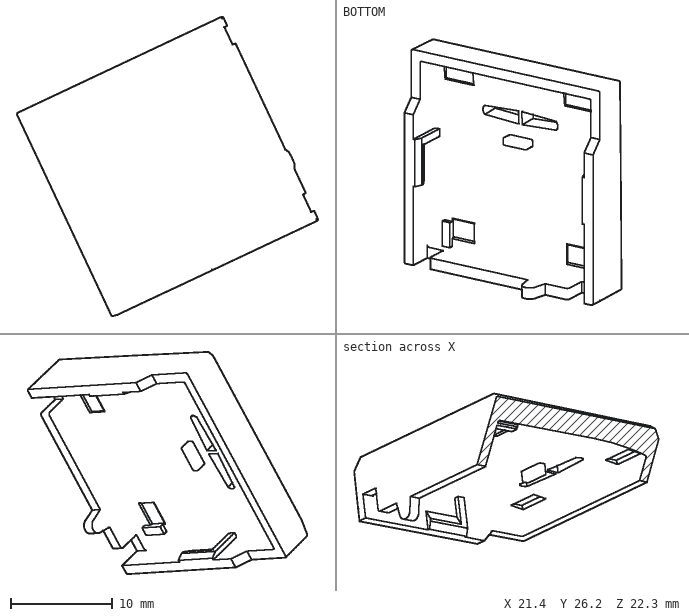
import cadquery as cq
import math


TILT_ABOUT_Y = 33.2
TILT_ABOUT_X = 20.0

WIDTH = 22.22
LENGTH = 22.1
SKIRT_HEIGHT = 1.24
WALL_DRAFT = 0.5
BACK_HEIGHT = 6.39
FRONT_HEIGHT = 6.09
CROWN_SAG = 0.03
TOP_CHAMFER = 1.15
EDGE_RADIUS = 0.2
STEP_FRONT = 5.05
STEP_BACK = 6.3

WALL = 1.05
REAR_WALL = 1.18
ROOF_HEIGHT = 3.97
ROOF_BEND = 8.23
ROOF_FRONT_DROP = 0.6
CAVITY_RADIUS = 0.2

NOTCH_WIDTH = 1.9
NOTCH_HEIGHT = 2.5
TONGUE_RADIUS = 0.25
LUG_OFFSET = 4.45
LUG_ROOT_HALF_WIDTH = 1.05
LUG_TIP_RADIUS = 0.78
LUG_STRAIGHT = 1.2

SNAP_FRONT = 8.87
SNAP_BACK = 13.8
SNAP_DEPTH = 0.5
SNAP_RIM_DEPTH = 0.2
SNAP_LOW = 0.75
SNAP_HIGH = 1.05
SNAP_TOP = 1.97
RIB_WIDTH = 0.8

BLADE_LENGTH = 2.8
BLADE_WIDTH = 0.8
BLADE_BOTTOM = 2.87
BLADE_RADIUS = 0.18
POCKET_CENTER_Y = 5.8
POCKET_LENGTH = 8.9
POCKET_MIDDLE_WIDTH = 1.5
POCKET_END_WIDTH = 1.05
POCKET_END_BULGE = 0.25
POCKET_TOP = 5.65
POCKET_DRAFT = 5.0
POCKET_DIVIDER = 0.3
RECESS_LEAN = 0.15
FRONT_RECESS_Y = (1.8, 3.5)
FRONT_RECESS_X = (5.35, 8.73)
FRONT_RECESS_TOP = 3.92
REAR_RECESS_Y = (17.95, 20.1)
REAR_RECESS_X = (5.45, 8.05)
REAR_RECESS_TOP = 4.15
LEDGE_FRONT = 18.3
LEDGE_WIDTH = 0.9
LEDGE_BOTTOM = 3.53

HALF_WIDTH = WIDTH / 2
INNER_HALF = HALF_WIDTH - WALL
INNER_BACK = LENGTH - REAR_WALL
TONGUE_HALF = INNER_HALF - NOTCH_WIDTH
SIDES = (-1, 1)


def box(x_range, y_range, z_range):
    """Axis-aligned block given by its limits."""
    size = [max(r) - min(r) for r in (x_range, y_range, z_range)]
    corner = cq.Vector(min(x_range), min(y_range), min(z_range))
    return cq.Workplane(cq.Solid.makeBox(*size, corner))


def side_prism(outline, x_from, x_to):
    """Extrude a closed (y, z) outline wire along x."""
    return outline.extrude(x_to - x_from).translate((x_from, 0, 0))


def outer_shell():
    """Solid cap with its drafted walls, crowned top and bevelled edges."""
    footprint = cq.Workplane("XY").center(0, LENGTH / 2)
    skirt = footprint.rect(WIDTH, LENGTH).extrude(SKIRT_HEIGHT).edges("|Z").fillet(EDGE_RADIUS)
    upper = (
        footprint.workplane(offset=SKIRT_HEIGHT)
        .rect(WIDTH, LENGTH)
        .extrude(BACK_HEIGHT, taper=WALL_DRAFT)
    )
    middle_height = (BACK_HEIGHT + FRONT_HEIGHT) / 2 + CROWN_SAG
    under_crown = side_prism(
        cq.Workplane("YZ")
        .moveTo(0, SKIRT_HEIGHT)
        .lineTo(0, FRONT_HEIGHT)
        .threePointArc((LENGTH / 2, middle_height), (LENGTH, BACK_HEIGHT))
        .lineTo(LENGTH, SKIRT_HEIGHT)
        .close(),
        -HALF_WIDTH,
        HALF_WIDTH,
    )
    upper = upper.intersect(under_crown)
    upper = upper.faces(">Z").edges("<X or >X or <Y").chamfer(TOP_CHAMFER)
    upper = upper.faces("not <Z").edges("not(<Z)").fillet(EDGE_RADIUS)
    return skirt.union(upper)


def skirt_step():
    """Space below the front wall, with the ramps up from the skirt's rim."""
    outline = (
        cq.Workplane("YZ")
        .polyline([(0, 0), (STEP_BACK, 0), (STEP_FRONT, SKIRT_HEIGHT), (0, SKIRT_HEIGHT)])
        .close()
    )
    return side_prism(outline, -HALF_WIDTH, HALF_WIDTH)


def cavity():
    """Hollow of the cap, its roof level at the back and curving down to the front."""
    bend_run = ROOF_BEND - WALL
    bend_radius = (bend_run**2 + ROOF_FRONT_DROP**2) / (2 * ROOF_FRONT_DROP)
    half_run = bend_run / 2
    half_drop = bend_radius - math.sqrt(bend_radius**2 - half_run**2)
    outline = (
        cq.Workplane("YZ")
        .moveTo(WALL, 0)
        .lineTo(WALL, ROOF_HEIGHT - ROOF_FRONT_DROP)
        .threePointArc((ROOF_BEND - half_run, ROOF_HEIGHT - half_drop), (ROOF_BEND, ROOF_HEIGHT))
        .lineTo(INNER_BACK, ROOF_HEIGHT)
        .lineTo(INNER_BACK, 0)
        .close()
    )
    hollow = side_prism(outline, -INNER_HALF, INNER_HALF)
    return hollow.edges("not(<Z)").fillet(CAVITY_RADIUS)


def rear_notches():
    """Openings that part the rear wall's tongue from the side walls."""
    rear = (INNER_BACK - CAVITY_RADIUS, LENGTH)
    cut = cq.Workplane()
    for side in SIDES:
        cut = cut.add(box((side * TONGUE_HALF, side * INNER_HALF), rear, (0, NOTCH_HEIGHT)))
    return cut.combine()


def tongue_corners():
    """Selector for the two lower corner edges of the rear wall's tongue."""
    left, right = [
        cq.selectors.BoxSelector(
            (side * TONGUE_HALF - TONGUE_RADIUS, INNER_BACK, -TONGUE_RADIUS),
            (side * TONGUE_HALF + TONGUE_RADIUS, LENGTH - TONGUE_RADIUS, TONGUE_RADIUS),
        )
        for side in SIDES
    ]
    return left + right


def lug():
    """Tapered tab with a round tip under the rear wall."""
    return (
        cq.Workplane("XZ", origin=(LUG_OFFSET, LENGTH, 0))
        .moveTo(-LUG_ROOT_HALF_WIDTH, 0)
        .lineTo(-LUG_TIP_RADIUS, -LUG_STRAIGHT)
        .threePointArc((0, -LUG_STRAIGHT - LUG_TIP_RADIUS), (LUG_TIP_RADIUS, -LUG_STRAIGHT))
        .lineTo(LUG_ROOT_HALF_WIDTH, 0)
        .close()
        .extrude(REAR_WALL)
    )


def right_snap():
    """Snap ridge on the right side wall, with the upright rib at its front end."""
    ridge = (
        cq.Workplane("XZ", origin=(INNER_HALF, SNAP_BACK, 0))
        .polyline(
            [
                (0, 0),
                (-SNAP_RIM_DEPTH, 0),
                (-SNAP_DEPTH, SNAP_LOW),
                (-SNAP_DEPTH, SNAP_HIGH),
                (0, SNAP_TOP),
            ]
        )
        .close()
        .extrude(SNAP_BACK - SNAP_FRONT)
    )
    rib = box(
        (INNER_HALF - SNAP_DEPTH, INNER_HALF),
        (SNAP_FRONT, SNAP_FRONT + RIB_WIDTH),
        (SNAP_LOW, ROOF_HEIGHT),
    )
    return ridge.union(rib)


def right_ledge():
    """Short bar under the roof beside the right rear notch."""
    outer = REAR_RECESS_X[1] + LEDGE_WIDTH
    return box((REAR_RECESS_X[1], outer), (LEDGE_FRONT, INNER_BACK), (LEDGE_BOTTOM, ROOF_HEIGHT))


def blade():
    """Rounded bar hanging across the middle of the roof."""
    bar = box(
        (-BLADE_LENGTH / 2, BLADE_LENGTH / 2),
        (ROOF_BEND - BLADE_WIDTH / 2, ROOF_BEND + BLADE_WIDTH / 2),
        (BLADE_BOTTOM, ROOF_HEIGHT),
    )
    return bar.edges("|Z").fillet(BLADE_RADIUS).faces("<Z").edges().fillet(BLADE_RADIUS / 2)


def recess(x_range, y_range, mouth, top):
    """Shallow roof recess whose front and back walls lean in up to its floor."""
    front, back = y_range
    outline = (
        cq.Workplane("YZ")
        .polyline([(front, mouth), (back, mouth), (back - RECESS_LEAN, top), (front + RECESS_LEAN, top)])
        .close()
    )
    return side_prism(outline, *x_range)


def right_recesses():
    """Shallow rectangular recesses in the roof on the right half."""
    front = recess(FRONT_RECESS_X, FRONT_RECESS_Y, ROOF_HEIGHT - ROOF_FRONT_DROP, FRONT_RECESS_TOP)
    rear = recess(REAR_RECESS_X, REAR_RECESS_Y, ROOF_HEIGHT, REAR_RECESS_TOP)
    return front.union(rear)


def pocket_half(side):
    """One half of the long pocket in the roof, narrowing upward and to its rounded end."""
    start = side * POCKET_DIVIDER / 2
    end = side * (POCKET_LENGTH / 2 - POCKET_END_BULGE)
    tip = side * POCKET_LENGTH / 2
    wide = POCKET_MIDDLE_WIDTH / 2
    narrow = POCKET_END_WIDTH / 2
    mouth = ROOF_HEIGHT - ROOF_FRONT_DROP
    return (
        cq.Workplane("XY", origin=(0, POCKET_CENTER_Y, mouth))
        .moveTo(start, -wide)
        .lineTo(end, -narrow)
        .threePointArc((tip, 0), (end, narrow))
        .lineTo(start, wide)
        .close()
        .extrude(POCKET_TOP - mouth, taper=POCKET_DRAFT)
    )


def round_edges(body, selector, radius):
    """Fillet the selected edges of a body."""
    return body.edges(selector).fillet(radius)


def both_sides(half):
    """A right-half feature together with its mirror image."""
    return half.union(half.mirror("YZ"))


def key_cap():
    """Complete cap in its upright position."""
    body = outer_shell().cut(skirt_step()).cut(cavity()).cut(rear_notches())
    body = round_edges(body, tongue_corners(), TONGUE_RADIUS)
    body = body.union(lug())
    for half in (right_snap(), right_ledge()):
        body = body.union(both_sides(half))
    body = body.union(blade())
    body = body.cut(both_sides(right_recesses()))
    for side in SIDES:
        body = body.cut(pocket_half(side))
    return body


result = (
    key_cap()
    .rotate((0, 0, 0), (0, 1, 0), TILT_ABOUT_Y)
    .rotate((0, 0, 0), (1, 0, 0), TILT_ABOUT_X)
)